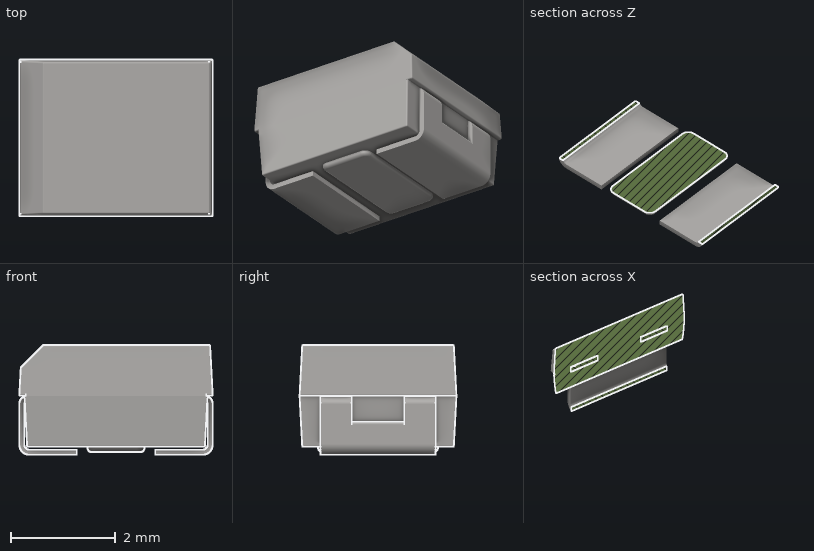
import cadquery as cq
import math

LENGTH = 3.7
WIDTH = 3.0
HEIGHT = 2.1

LEAD_THICKNESS = 0.1
LEAD_WIDTH = 2.198
FOOT_LENGTH = 1.103
FOOT_OUTER_RADIUS = 0.2
TOP_OUTER_RADIUS = 0.15
NOTCH_WIDTH = 1.003
NOTCH_FLOOR_Z = 0.635
NOTCH_EDGE_RADIUS = 0.05

HOUSING_BOTTOM_Z = 0.15
PARTING_Z = (HOUSING_BOTTOM_Z + HEIGHT) / 2
HALF_HEIGHT = HEIGHT - PARTING_Z
LOWER_LENGTH = LENGTH - 2 * LEAD_THICKNESS
UPPER_DRAFT_ANGLE = 3.0
LOWER_DRAFT_ANGLE = 3.0
EDGE_RADIUS = 0.03
BEVEL_TOP_X = -1.39

PAD_LENGTH = 1.1
PAD_WIDTH = 2.295
PAD_BOTTOM_Z = 0.05
PAD_CORNER_RADIUS = 0.148
PAD_EDGE_RADIUS = 0.09


def make_upper_half():
    """Upper housing half: drafted block with a 45 degree bevel along its -X end."""
    block = (
        cq.Workplane("XY", origin=(0, 0, PARTING_Z))
        .rect(LENGTH, WIDTH)
        .extrude(HALF_HEIGHT, taper=UPPER_DRAFT_ANGLE)
    )
    bevel_run = BEVEL_TOP_X + LENGTH / 2
    bevel = (
        cq.Workplane("XZ")
        .polyline([
            (-LENGTH / 2, HEIGHT - bevel_run),
            (BEVEL_TOP_X, HEIGHT),
            (-LENGTH / 2, HEIGHT),
        ])
        .close()
        .extrude(WIDTH / 2, both=True)
    )
    half = block.cut(bevel).edges("not(<Z)").fillet(EDGE_RADIUS)

    seam_length = LOWER_LENGTH - 2 * EDGE_RADIUS
    seam_block = half.intersect(
        cq.Workplane("XY", origin=(0, 0, PARTING_Z)).rect(seam_length, WIDTH).extrude(HALF_HEIGHT)
    )
    return half.edges("<Z and |Y").fillet(EDGE_RADIUS).union(seam_block)


def make_lower_half():
    """Lower housing half: shorter drafted block, leaving a ledge above each lead."""
    return (
        cq.Workplane("XY", origin=(0, 0, PARTING_Z))
        .rect(LOWER_LENGTH, WIDTH)
        .extrude(-HALF_HEIGHT, taper=LOWER_DRAFT_ANGLE)
        .edges("not(>Z)")
        .fillet(EDGE_RADIUS)
    )


def make_pad():
    """Rounded pad projecting from the underside of the housing."""
    return (
        cq.Workplane("XY", origin=(0, 0, PAD_BOTTOM_Z))
        .rect(PAD_LENGTH, PAD_WIDTH)
        .extrude(HOUSING_BOTTOM_Z - PAD_BOTTOM_Z)
        .edges("|Z")
        .fillet(PAD_CORNER_RADIUS)
        .faces("<Z")
        .edges()
        .fillet(PAD_EDGE_RADIUS)
    )


def make_lead():
    """Lead at the -X end: foot, upright and a top bend that turns into the housing."""
    outer_x = -LENGTH / 2
    inner_x = outer_x + LEAD_THICKNESS
    foot_end_x = outer_x + FOOT_LENGTH
    foot_bend_x = outer_x + FOOT_OUTER_RADIUS
    top_bend_x = outer_x + TOP_OUTER_RADIUS
    top_bend_z = PARTING_Z - TOP_OUTER_RADIUS
    foot_inner_radius = FOOT_OUTER_RADIUS - LEAD_THICKNESS
    top_inner_radius = TOP_OUTER_RADIUS - LEAD_THICKNESS
    diagonal = math.sqrt(0.5)

    def foot_bend_middle(radius):
        return foot_bend_x - radius * diagonal, FOOT_OUTER_RADIUS - radius * diagonal

    def top_bend_middle(radius):
        return top_bend_x - radius * diagonal, top_bend_z + radius * diagonal

    strip = (
        cq.Workplane("XZ")
        .moveTo(foot_end_x, 0)
        .lineTo(foot_bend_x, 0)
        .threePointArc(foot_bend_middle(FOOT_OUTER_RADIUS), (outer_x, FOOT_OUTER_RADIUS))
        .lineTo(outer_x, top_bend_z)
        .threePointArc(top_bend_middle(TOP_OUTER_RADIUS), (top_bend_x, PARTING_Z))
        .lineTo(top_bend_x, PARTING_Z - LEAD_THICKNESS)
        .threePointArc(top_bend_middle(top_inner_radius), (inner_x, top_bend_z))
        .lineTo(inner_x, FOOT_OUTER_RADIUS)
        .threePointArc(foot_bend_middle(foot_inner_radius), (foot_bend_x, LEAD_THICKNESS))
        .lineTo(foot_end_x, LEAD_THICKNESS)
        .close()
        .extrude(LEAD_WIDTH / 2, both=True)
    )
    return strip.cut(make_notch())


def make_notch():
    """Cutter for the notch in the upright; its floor rounds over at the outer face."""
    outer_x = -LENGTH / 2
    round_x = outer_x + NOTCH_EDGE_RADIUS
    round_z = NOTCH_FLOOR_Z - NOTCH_EDGE_RADIUS
    diagonal = NOTCH_EDGE_RADIUS * math.sqrt(0.5)
    inside_x = outer_x + TOP_OUTER_RADIUS
    return (
        cq.Workplane("XZ")
        .moveTo(outer_x, PARTING_Z)
        .lineTo(outer_x, round_z)
        .threePointArc((round_x - diagonal, round_z + diagonal), (round_x, NOTCH_FLOOR_Z))
        .lineTo(inside_x, NOTCH_FLOOR_Z)
        .lineTo(inside_x, PARTING_Z)
        .close()
        .extrude(NOTCH_WIDTH / 2, both=True)
    )


leads = []
for turn in (0, 180):
    leads.append(make_lead().rotate((0, 0, 0), (0, 0, 1), turn))

housing = make_upper_half().union(make_lower_half()).union(make_pad())
for lead in leads:
    housing = housing.cut(lead)

result = cq.Compound.makeCompound([housing.val(), *[lead.val() for lead in leads]])